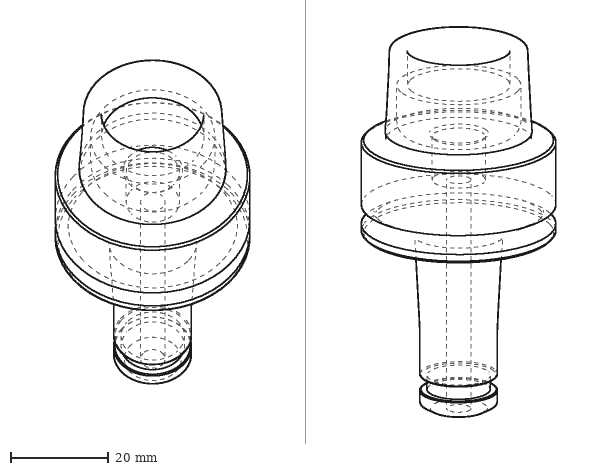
import cadquery as cq
import math


total_height = 78.0
taper_length = 20.0
collar_height = 20.0
face_z = total_height - taper_length
flange_bottom_z = face_z - collar_height

taper_base_diameter = 30.2
taper_base_z = 59.9
taper_ratio = 1 / 10
taper_top_diameter = taper_base_diameter - taper_ratio * (total_height - taper_base_z)
taper_top_rounding = 0.75
neck_diameter = 29.91
neck_top_z = 59.4

recess_diameter = 32.3
recess_angle = math.radians(12)
recess_rounding = 0.5

collar_diameter = 40.0
collar_edge_chamfer = 0.5
groove_diameter = 34.8
groove_width = 4.1
groove_center_height = 4.0
groove_center_z = flange_bottom_z + groove_center_height
groove_flank_angle = math.radians(25.5)
groove_rounding = 0.5

stem_diameter = 16.0
stem_cone_bottom_z = 17.1
stem_cone_angle = math.radians(3)
stem_root_rounding = 1.0
stem_groove_diameter = 13.0
stem_groove_bottom_z = 4.1
stem_groove_top_z = 7.2
stem_groove_edge_chamfer = 0.25
stem_tip_diameter = 11.7
stem_tip_angle = math.radians(30)
stem_tip_rounding = 0.6

entry_diameter = 21.0
entry_rounding = 0.9
chamber_diameter = 25.5
entry_depth = 8.0
chamber_top_z = total_height - entry_depth
chamber_floor_z = 59.5
chamber_floor_rounding = 2.75
socket_diameter = 10.92
socket_mouth_diameter = 12.2
socket_depth = 10.0
coolant_diameter = 5.0


def toward(start, end, distance):
    """Point at the given distance from start on the way to end."""
    share = distance / math.dist(start, end)
    return (start[0] + share * (end[0] - start[0]), start[1] + share * (end[1] - start[1]))


def rounded_corner(before, corner, after, radius):
    """Start, middle and end of the arc that rounds a corner tangentially."""
    side_before = math.dist(before, corner)
    side_after = math.dist(corner, after)
    opposite = math.dist(before, after)
    cosine = (side_before**2 + side_after**2 - opposite**2) / (2 * side_before * side_after)
    half_angle = math.acos(cosine) / 2
    setback = radius / math.tan(half_angle)
    start = toward(corner, before, setback)
    end = toward(corner, after, setback)
    chord_middle = ((start[0] + end[0]) / 2, (start[1] + end[1]) / 2)
    middle = toward(corner, chord_middle, radius / math.sin(half_angle) - radius)
    return start, middle, end


def turned(corners):
    """Solid of revolution about Z from corners given as (diameter, z, rounding radius)."""
    points = [(diameter / 2, z) for diameter, z, _ in corners]
    outline = cq.Workplane("XZ").moveTo(*points[0])
    for i in range(1, len(points)):
        radius = corners[i][2]
        if radius == 0:
            outline = outline.lineTo(*points[i])
        else:
            start, middle, end = rounded_corner(points[i - 1], points[i], points[i + 1], radius)
            outline = outline.lineTo(*start).threePointArc(middle, end)
    return outline.close().revolve(360, (0, 0, 0), (0, 1, 0))


def stem_corners():
    """Outline of the stem, from the axis at its lower end up to the flange."""
    tip_z = (stem_diameter - stem_tip_diameter) / 2 * math.tan(stem_tip_angle)
    chamfer = stem_groove_edge_chamfer
    groove_edge_diameter = stem_diameter - 2 * chamfer
    cone_height = flange_bottom_z - stem_cone_bottom_z
    root_diameter = stem_diameter + 2 * cone_height * math.tan(stem_cone_angle)
    return [
        (0, 0, 0),
        (stem_tip_diameter, 0, 0),
        (stem_diameter, tip_z, stem_tip_rounding),
        (stem_diameter, stem_groove_bottom_z - chamfer, 0),
        (groove_edge_diameter, stem_groove_bottom_z, 0),
        (stem_groove_diameter, stem_groove_bottom_z, 0),
        (stem_groove_diameter, stem_groove_top_z, 0),
        (groove_edge_diameter, stem_groove_top_z, 0),
        (stem_diameter, stem_groove_top_z + chamfer, 0),
        (stem_diameter, stem_cone_bottom_z, 0),
        (root_diameter, flange_bottom_z, stem_root_rounding),
    ]


def collar_corners():
    """Outline of the collar, from the flange underside up to the collar face."""
    flank_height = (collar_diameter - groove_diameter) / 2 * math.tan(groove_flank_angle)
    collar_face_diameter = collar_diameter - 2 * collar_edge_chamfer
    lower_edge_z = groove_center_z - groove_width / 2
    upper_edge_z = groove_center_z + groove_width / 2
    return [
        (collar_face_diameter, flange_bottom_z, 0),
        (collar_diameter, flange_bottom_z + collar_edge_chamfer, 0),
        (collar_diameter, lower_edge_z, 0),
        (groove_diameter, lower_edge_z + flank_height, groove_rounding),
        (groove_diameter, upper_edge_z - flank_height, groove_rounding),
        (collar_diameter, upper_edge_z, 0),
        (collar_diameter, face_z - collar_edge_chamfer, 0),
        (collar_face_diameter, face_z, 0),
    ]


def taper_corners():
    """Outline of the face recess, neck and taper, ending on the axis at the top."""
    recess_depth = (recess_diameter - neck_diameter) / 2 * math.tan(recess_angle)
    return [
        (recess_diameter, face_z, 0),
        (neck_diameter, face_z - recess_depth, recess_rounding),
        (neck_diameter, neck_top_z, 0),
        (taper_base_diameter, taper_base_z, 0),
        (taper_top_diameter, total_height, taper_top_rounding),
        (0, total_height, 0),
    ]


def cavity():
    """Material removed from inside: a stepped passage open at both ends."""
    mouth_depth = (socket_mouth_diameter - socket_diameter) / 2
    socket_floor_z = chamber_floor_z - socket_depth
    return turned([
        (0, 0, 0),
        (coolant_diameter, 0, 0),
        (coolant_diameter, socket_floor_z, 0),
        (socket_diameter, socket_floor_z, 0),
        (socket_diameter, chamber_floor_z - mouth_depth, 0),
        (socket_mouth_diameter, chamber_floor_z, 0),
        (chamber_diameter, chamber_floor_z, chamber_floor_rounding),
        (chamber_diameter, chamber_top_z, 0),
        (entry_diameter, chamber_top_z, 0),
        (entry_diameter, total_height, 0),
        (0, total_height, 0),
    ])


def round_entry(body):
    """Round the rim of the entry bore at the top of the taper."""
    rim = cq.selectors.RadiusNthSelector(0)
    return body.faces(">Z").edges(rim).fillet(entry_rounding)


body = turned(stem_corners() + collar_corners() + taper_corners())
result = round_entry(body.cut(cavity()))